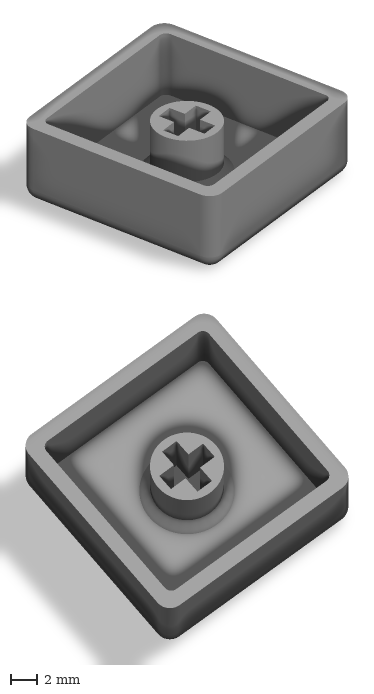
import cadquery as cq
import math

overall_extent = 18.22
height = 6.7
wall = 1.2
floor_thickness = wall
outer_radius = 1.2
inner_radius = 0.6
turn_degrees = -0.63

turn = math.radians(abs(turn_degrees))
corner_spacing = (overall_extent - 2 * outer_radius) / (math.cos(turn) + math.sin(turn))
outer_side = corner_spacing + 2 * outer_radius
inner_side = outer_side - 2 * wall

stem_diameter = 5.6
stem_setback = 1.0
stem_top = height - stem_setback
foot_size = 0.8
cross_span = 4.25
cross_arm_width = 1.4
cross_depth = stem_top - floor_thickness


def make_shell():
    body = (
        cq.Workplane("XY")
        .rect(outer_side, outer_side)
        .extrude(height)
        .edges("|Z")
        .fillet(outer_radius)
        .faces("<Z")
        .edges()
        .fillet(outer_radius)
    )
    cavity = (
        cq.Workplane("XY")
        .workplane(offset=floor_thickness)
        .rect(inner_side, inner_side)
        .extrude(height - floor_thickness)
        .edges("|Z")
        .fillet(inner_radius)
    )
    return body.cut(cavity).rotate((0, 0, 0), (0, 0, 1), turn_degrees)


def make_stem():
    stem_radius = stem_diameter / 2
    foot_top = floor_thickness + foot_size
    return (
        cq.Workplane("XZ")
        .moveTo(0, floor_thickness)
        .lineTo(stem_radius + foot_size, floor_thickness)
        .lineTo(stem_radius, foot_top)
        .lineTo(stem_radius, stem_top)
        .lineTo(0, stem_top)
        .close()
        .revolve(360, (0, 0, 0), (0, 1, 0))
    )


def make_cross_socket():
    socket_plane = cq.Workplane("XY").workplane(offset=stem_top - cross_depth)
    arm_along_x = socket_plane.rect(cross_span, cross_arm_width).extrude(cross_depth)
    arm_along_y = socket_plane.rect(cross_arm_width, cross_span).extrude(cross_depth)
    return arm_along_x.union(arm_along_y)


result = make_shell().union(make_stem()).cut(make_cross_socket())